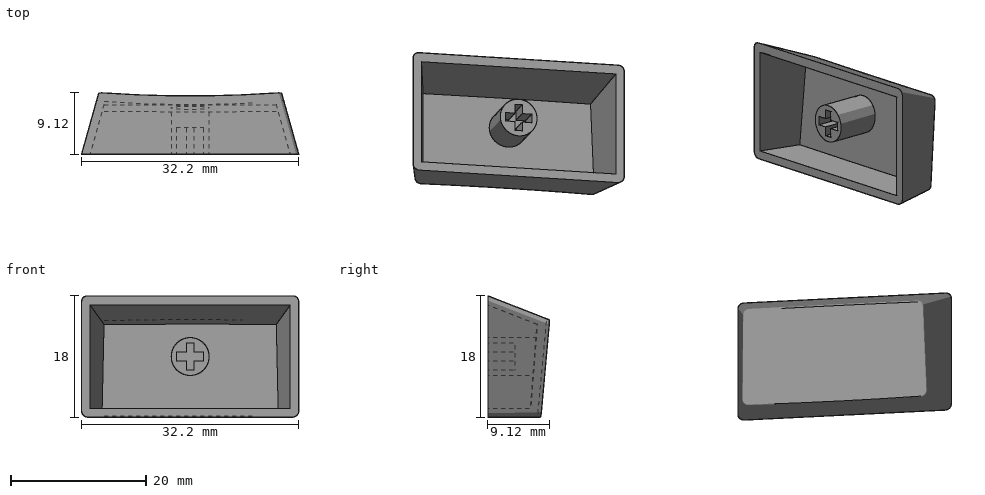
import cadquery as cq

WIDTH = 32.2
RIM_HEIGHT = 18.0
DEPTH = 9.18
TOP_WIDTH = 27.05
BACK_HEIGHT = 14.43
BOTTOM_DEPTH = 7.85
CORNER_RADIUS = 0.95
TOP_EDGE_RADIUS = 0.2
DISH_SAG = 0.5

WALL = 1.3
UPPER_WALL = 1.4
FLOOR_DEPTH_LOW = 6.38
FLOOR_DEPTH_HIGH = 7.4
FLOOR_SAG = 0.1

STEM_DIAMETER = 5.6
CROSS_LENGTH = 4.0
CROSS_UPRIGHT = 1.1
CROSS_LEVEL = 1.3
CROSS_DEPTH = 4.0

SIDE_SLOPE = (WIDTH - TOP_WIDTH) / 2 / DEPTH
UPPER_SLOPE = (RIM_HEIGHT - BACK_HEIGHT) / DEPTH
TOP_SLOPE = (DEPTH - BOTTOM_DEPTH) / BACK_HEIGHT
FLOOR_SLOPE = (FLOOR_DEPTH_HIGH - FLOOR_DEPTH_LOW) / (BACK_HEIGHT - WALL)
STEM_Z = RIM_HEIGHT / 2
OVERSHOOT = 6.45


def tapered_block(width, z_low, z_high, depth):
    """Block growing from the rim: lower wall square, other three walls sloped."""
    half = width / 2
    half_far = half - SIDE_SLOPE * depth
    plan = [(-half, 0), (half, 0), (half_far, depth), (-half_far, depth)]
    profile = [(0, z_low), (0, z_high), (depth, z_high - UPPER_SLOPE * depth), (depth, z_low)]
    plan_body = cq.Workplane("XY").polyline(plan).close().extrude(RIM_HEIGHT)
    profile_body = cq.Workplane("YZ").polyline(profile).close().extrude(WIDTH / 2, both=True)
    return plan_body.intersect(profile_body)


def below_dish(depth_at_zero, slope, sag):
    """Everything on the rim side of a tilted cylindrical dish."""
    half = WIDTH / 2
    chord_half = TOP_WIDTH / 2
    rise = sag * (half / chord_half) ** 2
    start = -OVERSHOOT
    end = RIM_HEIGHT + OVERSHOOT
    edge_depth = depth_at_zero + slope * start
    middle = edge_depth - sag
    section = (
        cq.Workplane("XY", origin=(0, 0, start))
        .moveTo(-half, -OVERSHOOT)
        .lineTo(half, -OVERSHOOT)
        .lineTo(half, middle + rise)
        .threePointArc((0, middle), (-half, middle + rise))
        .close()
    )
    path = cq.Workplane("YZ").moveTo(0, start).lineTo(slope * (end - start), end)
    return section.sweep(path)


outer = tapered_block(WIDTH, 0, RIM_HEIGHT, DEPTH + TOP_EDGE_RADIUS)
side_corners = outer.edges("not(|X or |Z)")
outer = side_corners.fillet(CORNER_RADIUS)
outer = outer.intersect(below_dish(BOTTOM_DEPTH, TOP_SLOPE, DISH_SAG))
outer = outer.faces(">Y").edges().fillet(TOP_EDGE_RADIUS)

cavity = tapered_block(WIDTH - 2 * WALL, WALL, RIM_HEIGHT - UPPER_WALL, DEPTH)
floor_depth_at_zero = FLOOR_DEPTH_LOW - FLOOR_SLOPE * WALL
cavity = cavity.intersect(below_dish(floor_depth_at_zero, FLOOR_SLOPE, FLOOR_SAG))

stem_plane = cq.Workplane("XZ", origin=(0, 0, STEM_Z))
stem = stem_plane.circle(STEM_DIAMETER / 2).extrude(-FLOOR_DEPTH_HIGH)
stem = stem.intersect(outer)
socket = (
    stem_plane.rect(CROSS_UPRIGHT, CROSS_LENGTH).extrude(-CROSS_DEPTH)
    .union(stem_plane.rect(CROSS_LENGTH, CROSS_LEVEL).extrude(-CROSS_DEPTH))
)

result = outer.cut(cavity).union(stem).cut(socket)